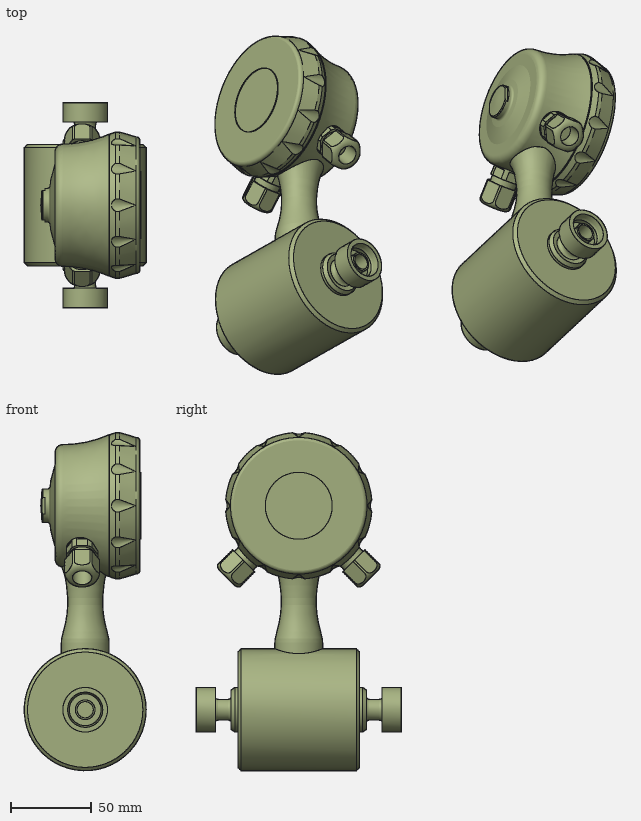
import cadquery as cq
import math

TUBE_RADIUS = 38.06
TUBE_HALF_LENGTH = 38
TUBE_CHAMFER = 2.1

CONNECTION_END = 64.0
CAP_LENGTH = 12.2
CAP_RADIUS = 14.0
BOSS_END = 42.4
BOSS_CHAMFER_LENGTH = 2.5
BOSS_RIM_RADIUS = 12.2
BOSS_DISH_DEPTH = 0.8
PIPE_RADIUS = 6.5
PIPE_FILLET = 2.5
PIPE_END_RADIUS = 7.0
PIPE_TAPER_LENGTH = 1.7
BORE_MOUTH_RADIUS = 11.0
BORE_WALL_RADIUS = 10.44
BORE_FLOOR_RADIUS = 10.0
BORE_WALL_DEPTH = 4.0
BORE_STEP_DEPTH = 5.5
BORE_FLOOR_DEPTH = 8.9
SPIGOT_RADIUS = 6.1
SPIGOT_DEPTH = 3.4
HOLE_RADIUS = 5.0
HOLE_DEPTH = 21

NECK_BASE_RADIUS = 15.0
NECK_WAIST_RADIUS = 11.0
NECK_TOP_RADIUS = 11.7
NECK_FLARE_RADIUS = 15.5
NECK_BASE_TOP = 41.8
NECK_COLLAR_TOP = 44.3
NECK_COLLAR_RADIUS = 14.8
NECK_TAPER_TOP = 48.7
NECK_TAPER_RADIUS = 13.7
NECK_WAIST_BOTTOM = 65.2
NECK_WAIST_TOP = 69.5
NECK_FLARE_BOTTOM = 77.4
NECK_FLARE_TOP = 91.0

HOUSING_Z = 127.2
HOUSING_FRONT_RADIUS = 38.2
HOUSING_REAR_X = -18.8
HOUSING_CORNER_X = -14.1
HOUSING_FLAT_RADIUS = 33.3
HOUSING_SEAM_X = 14.8
HOUSING_SEAM_RADIUS = 44.3

DISH_OUTER_RADIUS = 26.0
DISH_INNER_RADIUS = 15.5
DISH_INNER_X = -21.5
PLUG_FILLET_X = -22.0
PLUG_FILLET = 1.5
PLUG_RADIUS = 10.5
PLUG_END_X = -27.0
PLUG_TIP_X = -27.73
PLUG_CHAMFER = 0.6
PLUG_FLAT_HALF_WIDTH = 9.13
PLUG_FLAT_X = -25.0

SEAM_WIDTH = 0.5
SEAM_DEPTH = 0.6
COVER_RADIUS = 45.8
COVER_BAND_START_X = 19
COVER_BAND_END_X = 21.5
COVER_TAPER_END_X = 31.6
COVER_TAPER_END_RADIUS = 42.5
COVER_FACE_X = 34.2
COVER_FACE_RADIUS = 40.6
WINDOW_RADIUS = 20.9
WINDOW_X = 34.8

GRIP_COUNT = 12
GRIP_TIP_X = 31.2
GRIP_FLOOR_ANGLE = 8.2
GRIP_HALF_ANGLE = 27
GRIP_CONE_LENGTH = 21

GLAND_X = -2.0
GLAND_ANGLE = 45
GLAND_ROOT = 25.3
COLLAR_RADIUS = 8.33
WASHER_START = 36.5
LOCKNUT_START = 38.5
LOCKNUT_END = 44.5
LOCKNUT_WIDTH = 18.5
LOCKNUT_CORNER_RADIUS = 10.0
CAPNUT_START = 48.5
CAPNUT_END = 63.5
CAPNUT_WIDTH = 19.6
CAPNUT_CORNER_RADIUS = 11.0
CAPNUT_ROUNDING = 4.6
CABLE_HOLE_RADIUS = 6.0
CABLE_HOLE_DEPTH = 13.7

QUARTER_ARC_RISE = 1 - math.sqrt(0.5)


def arc_middle(start, end, bulge):
    """Point beside the middle of a chord, offset to its left by the bulge."""
    run = end[0] - start[0]
    rise = end[1] - start[1]
    chord = math.hypot(run, rise)
    middle_x = (start[0] + end[0]) / 2 - bulge * rise / chord
    middle_y = (start[1] + end[1]) / 2 + bulge * run / chord
    return middle_x, middle_y


def bend(profile, start, end, bulge):
    """Continue a profile from start to end along a shallow arc."""
    return profile.threePointArc(arc_middle(start, end, bulge), end)


def make_connection():
    """Boss, pipe and bored cap on the -Y side; profile points are (radius, y)."""
    cap_start = CAP_LENGTH - CONNECTION_END
    dish_floor = BOSS_DISH_DEPTH - BOSS_END
    spigot_end = SPIGOT_DEPTH - CONNECTION_END
    bore_floor = BORE_FLOOR_DEPTH - CONNECTION_END
    hole_floor = HOLE_DEPTH - CONNECTION_END
    pipe_foot = (PIPE_RADIUS + PIPE_FILLET, dish_floor)
    pipe_start = (PIPE_RADIUS, dish_floor - PIPE_FILLET)
    profile = (
        cq.Workplane("XY")
        .lineTo(CAP_RADIUS, 0)
        .lineTo(CAP_RADIUS, BOSS_CHAMFER_LENGTH - BOSS_END)
        .lineTo(BOSS_RIM_RADIUS, -BOSS_END)
        .lineTo(*pipe_foot)
    )
    profile = bend(profile, pipe_foot, pipe_start, -PIPE_FILLET * QUARTER_ARC_RISE)
    return (
        profile
        .lineTo(PIPE_RADIUS, cap_start + PIPE_TAPER_LENGTH)
        .lineTo(PIPE_END_RADIUS, cap_start)
        .lineTo(CAP_RADIUS, cap_start)
        .lineTo(CAP_RADIUS, -CONNECTION_END)
        .lineTo(BORE_MOUTH_RADIUS, -CONNECTION_END)
        .lineTo(BORE_WALL_RADIUS, BORE_WALL_DEPTH - CONNECTION_END)
        .lineTo(BORE_FLOOR_RADIUS, BORE_STEP_DEPTH - CONNECTION_END)
        .lineTo(BORE_FLOOR_RADIUS, bore_floor)
        .lineTo(SPIGOT_RADIUS, bore_floor)
        .lineTo(SPIGOT_RADIUS, spigot_end)
        .lineTo(HOLE_RADIUS, spigot_end)
        .lineTo(HOLE_RADIUS, hole_floor)
        .lineTo(0, hole_floor)
        .close()
        .revolve(360, (0, 0), (0, 1))
    )


def make_tube():
    cylinder = (
        cq.Workplane("XZ", origin=(0, TUBE_HALF_LENGTH, 0))
        .circle(TUBE_RADIUS)
        .extrude(2 * TUBE_HALF_LENGTH)
        .faces("|Y")
        .chamfer(TUBE_CHAMFER)
    )
    connection = make_connection()
    return cylinder.union(connection).union(connection.mirror("XZ"))


def make_neck():
    """Waisted neck that flares into the housing; profile points are (radius, z)."""
    taper_top = (NECK_TAPER_RADIUS, NECK_TAPER_TOP)
    waist_bottom = (NECK_WAIST_RADIUS, NECK_WAIST_BOTTOM)
    flare_bottom = (NECK_TOP_RADIUS, NECK_FLARE_BOTTOM)
    flare_top = (NECK_FLARE_RADIUS, NECK_FLARE_TOP)
    profile = (
        cq.Workplane("XZ")
        .lineTo(NECK_BASE_RADIUS, 0)
        .lineTo(NECK_BASE_RADIUS, NECK_BASE_TOP)
        .lineTo(NECK_COLLAR_RADIUS, NECK_COLLAR_TOP)
        .lineTo(*taper_top)
    )
    profile = bend(profile, taper_top, waist_bottom, 0.53)
    profile = profile.lineTo(NECK_WAIST_RADIUS, NECK_WAIST_TOP).lineTo(*flare_bottom)
    profile = bend(profile, flare_bottom, flare_top, 0.6)
    return (
        profile
        .lineTo(NECK_FLARE_RADIUS, HOUSING_Z)
        .lineTo(0, HOUSING_Z)
        .close()
        .revolve(360, (0, 0), (0, 1))
    )


def make_housing():
    """Body, plug and cover turned about X; profile points are (x, radius)."""
    plug_side = (PLUG_FILLET_X - PLUG_FILLET, PLUG_RADIUS)
    plug_foot = (PLUG_FILLET_X, PLUG_RADIUS + PLUG_FILLET)
    rear_flat_edge = (HOUSING_REAR_X, HOUSING_FLAT_RADIUS)
    rear_corner = (HOUSING_CORNER_X, HOUSING_FRONT_RADIUS)
    seam = (HOUSING_SEAM_X, HOUSING_SEAM_RADIUS)
    cover_start_x = HOUSING_SEAM_X + SEAM_WIDTH
    seam_floor_radius = HOUSING_SEAM_RADIUS - SEAM_DEPTH
    taper_end = (COVER_TAPER_END_X, COVER_TAPER_END_RADIUS)
    cover_face_edge = (COVER_FACE_X, COVER_FACE_RADIUS)

    profile = (
        cq.Workplane("XZ")
        .moveTo(PLUG_TIP_X, 0)
        .lineTo(PLUG_END_X, PLUG_RADIUS - PLUG_CHAMFER)
        .lineTo(PLUG_END_X + PLUG_CHAMFER, PLUG_RADIUS)
        .lineTo(*plug_side)
    )
    profile = bend(profile, plug_side, plug_foot, -PLUG_FILLET * QUARTER_ARC_RISE)
    profile = (
        profile
        .lineTo(DISH_INNER_X, DISH_INNER_RADIUS)
        .lineTo(HOUSING_REAR_X, DISH_OUTER_RADIUS)
        .lineTo(*rear_flat_edge)
    )
    profile = bend(profile, rear_flat_edge, rear_corner, 1.37)
    profile = bend(profile, rear_corner, seam, -1.58)
    profile = (
        profile
        .lineTo(HOUSING_SEAM_X, seam_floor_radius)
        .lineTo(cover_start_x, seam_floor_radius)
        .lineTo(cover_start_x, HOUSING_SEAM_RADIUS)
        .lineTo(COVER_BAND_START_X, COVER_RADIUS)
        .lineTo(COVER_BAND_END_X, COVER_RADIUS)
        .lineTo(*taper_end)
    )
    profile = bend(profile, taper_end, cover_face_edge, 0.6)
    return (
        profile
        .lineTo(COVER_FACE_X, WINDOW_RADIUS)
        .lineTo(WINDOW_X, WINDOW_RADIUS)
        .lineTo(WINDOW_X, 0)
        .close()
        .revolve(360, (0, 0), (1, 0))
    )


def cut_plug_flats(housing):
    flat_length = PLUG_FLAT_X - PLUG_TIP_X
    for side in (1, -1):
        waste = cq.Workplane("XY").box(flat_length, PLUG_RADIUS, 2 * PLUG_RADIUS)
        waste = waste.translate((
            PLUG_FLAT_X - flat_length / 2,
            side * (PLUG_FLAT_HALF_WIDTH + PLUG_RADIUS / 2),
            0,
        ))
        housing = housing.cut(waste)
    return housing


def make_grip_cutter():
    """Cone with its tip on the cover's tapered side and its lowest line rising toward the seam."""
    axis_angle = math.radians(GRIP_FLOOR_ANGLE + GRIP_HALF_ANGLE)
    mouth_radius = GRIP_CONE_LENGTH * math.tan(math.radians(GRIP_HALF_ANGLE))
    plane = cq.Plane(
        origin=(GRIP_TIP_X, 0, COVER_TAPER_END_RADIUS),
        xDir=(-math.cos(axis_angle), 0, math.sin(axis_angle)),
        normal=(0, 1, 0),
    )
    return (
        cq.Workplane(plane)
        .lineTo(GRIP_CONE_LENGTH, 0)
        .lineTo(GRIP_CONE_LENGTH, mouth_radius)
        .close()
        .revolve(360, (0, 0), (1, 0))
    )


def cut_grips(housing):
    cutter = make_grip_cutter()
    for index in range(GRIP_COUNT):
        angle = index * 360 / GRIP_COUNT
        housing = housing.cut(cutter.rotate((0, 0, 0), (1, 0, 0), angle))
    return housing


def make_hexagon(plane, start, end, width):
    """Hexagonal prism with two corners pointing along X."""
    corner_diameter = width / math.cos(math.radians(30))
    return (
        cq.Workplane(plane)
        .workplane(offset=start)
        .polygon(6, corner_diameter)
        .extrude(end - start)
    )


def make_gland(side):
    """Cable gland on the +Y (side 1) or -Y (side -1) half of the housing."""
    angle = math.radians(GLAND_ANGLE)
    plane = cq.Plane(
        origin=(GLAND_X, 0, HOUSING_Z),
        xDir=(1, 0, 0),
        normal=(0, side * math.cos(angle), -math.sin(angle)),
    )
    collar = (
        cq.Workplane(plane)
        .workplane(offset=GLAND_ROOT)
        .circle(COLLAR_RADIUS)
        .extrude(CAPNUT_START - GLAND_ROOT)
    )
    locknut_round = cq.Workplane(plane).circle(LOCKNUT_CORNER_RADIUS).extrude(LOCKNUT_END)
    locknut = make_hexagon(plane, LOCKNUT_START, LOCKNUT_END, LOCKNUT_WIDTH).intersect(locknut_round)

    rounding_start = (CAPNUT_CORNER_RADIUS, CAPNUT_ROUNDING - CAPNUT_END)
    rounding_end = (CAPNUT_CORNER_RADIUS - CAPNUT_ROUNDING, -CAPNUT_END)
    turning_plane = cq.Plane(
        origin=plane.origin.toTuple(),
        xDir=(1, 0, 0),
        normal=plane.yDir.toTuple(),
    )
    profile = cq.Workplane(turning_plane).lineTo(CAPNUT_CORNER_RADIUS, 0).lineTo(*rounding_start)
    profile = bend(profile, rounding_start, rounding_end, CAPNUT_ROUNDING * QUARTER_ARC_RISE)
    capnut_round = profile.lineTo(0, -CAPNUT_END).close().revolve(360, (0, 0), (0, 1))
    capnut = make_hexagon(plane, CAPNUT_START, CAPNUT_END, CAPNUT_WIDTH).intersect(capnut_round)
    cable_hole = (
        cq.Workplane(plane)
        .workplane(offset=CAPNUT_END - CABLE_HOLE_DEPTH)
        .circle(CABLE_HOLE_RADIUS)
        .extrude(CABLE_HOLE_DEPTH)
    )
    washer = (
        cq.Workplane(plane)
        .workplane(offset=WASHER_START)
        .circle(LOCKNUT_CORNER_RADIUS)
        .extrude(LOCKNUT_START - WASHER_START)
    )
    return collar.union(washer).union(locknut).union(capnut).cut(cable_hole)


housing = cut_grips(cut_plug_flats(make_housing())).translate((0, 0, HOUSING_Z))
result = make_tube().union(make_neck()).union(housing)
for gland_side in (1, -1):
    result = result.union(make_gland(gland_side))